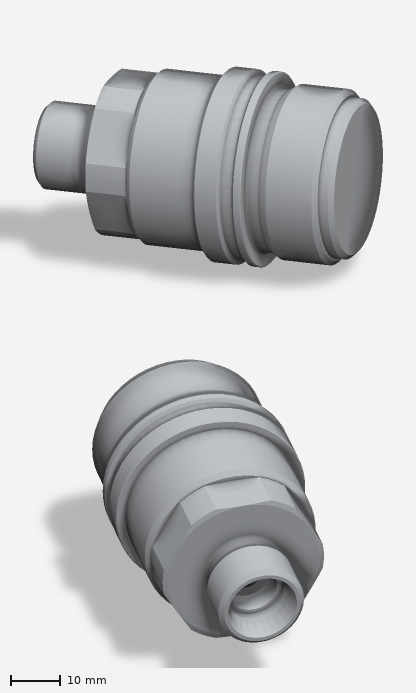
import cadquery as cq
import math


END_R = 9.05
END_CHAMFER = 1.0
END_LENGTH = 9.3
NECK_START = 11.3
NECK_R = 7.85
NECK_FILLET = 0.8
HEX_START = 13.95
HEX_END = 23.0
HEX_ACROSS_FLATS = 32.0
HEX_CORNER_R = 17.0
HEX_FACE_R = 15.95
HEX_CHAMFER_ANGLE = 15.0

MOUTH_R = 7.25
MOUTH_DEPTH = 5.2
COUNTERBORE_R = 6.0
COUNTERBORE_DEPTH = 6.9
BORE_R = 5.0

NOSE_R = 3.0
NOSE_TIP_R = 0.55
SHOULDER_X = 12.0
NOSE_LENGTH = NOSE_R - NOSE_TIP_R

BARREL_R = 18.0
BARREL_CHAMFER = 1.0
COLLAR_START = 38.4
COLLAR_END = 48.45
COLLAR_DIAMETER = 40.0
COLLAR_R = COLLAR_DIAMETER / 2
COLLAR_CHAMFER = 0.2
RING_GROOVE_START = 43.2
RING_GROOVE_END = 46.8
RING_GROOVE_R = 19.0
RING_GROOVE_WALL = 0.6
RELIEF_R = 16.8
RELIEF_FILLET = 0.8
RELIEF_END = 51.2
RELIEF_TAPER_END = 53.1
REAR_STEP_X = 64.0
REAR_STEP_R = 16.5
REAR_CHAMFER = 1.0
TOTAL_LENGTH = 67.0


def turn(outline):
    """Revolve a closed outline, drawn as X against radius, around the X axis."""
    return outline.close().revolve(360, (0, 0, 0), (1, 0, 0))


def make_hexagon():
    """Hexagon with flats facing +Z and -Z, its corners turned down and chamfered at both ends."""
    across_corners = HEX_ACROSS_FLATS / math.cos(math.pi / 6)
    prism = (
        cq.Workplane("YZ")
        .workplane(offset=HEX_START)
        .polygon(6, across_corners)
        .extrude(HEX_END - HEX_START)
    )
    chamfer_length = (HEX_CORNER_R - HEX_FACE_R) * math.tan(math.radians(HEX_CHAMFER_ANGLE))
    envelope = turn(
        cq.Workplane("XY")
        .moveTo(HEX_START, 0)
        .lineTo(HEX_START, HEX_FACE_R)
        .lineTo(HEX_START + chamfer_length, HEX_CORNER_R)
        .lineTo(HEX_END - chamfer_length, HEX_CORNER_R)
        .lineTo(HEX_END, HEX_FACE_R)
        .lineTo(HEX_END, 0)
    )
    return prism.intersect(envelope)


def make_threaded_end():
    """Chamfered end, taper to the neck and the neck's fillet into the hexagon face."""
    return turn(
        cq.Workplane("XY")
        .lineTo(0, END_R - END_CHAMFER)
        .lineTo(END_CHAMFER, END_R)
        .lineTo(END_LENGTH, END_R)
        .lineTo(NECK_START, NECK_R)
        .lineTo(HEX_START - NECK_FILLET, NECK_R)
        .radiusArc((HEX_START, NECK_R + NECK_FILLET), -NECK_FILLET)
        .lineTo(HEX_START, 0)
    )


def make_adapter_bore():
    """Tapered mouth, short straight counterbore and the narrower bore behind it."""
    return turn(
        cq.Workplane("XY")
        .lineTo(0, MOUTH_R)
        .lineTo(MOUTH_DEPTH, COUNTERBORE_R)
        .lineTo(COUNTERBORE_DEPTH, COUNTERBORE_R)
        .lineTo(COUNTERBORE_DEPTH, BORE_R)
        .lineTo(HEX_END, BORE_R)
        .lineTo(HEX_END, 0)
    )


def make_adapter():
    return make_threaded_end().union(make_hexagon()).cut(make_adapter_bore())


def make_poppet():
    """Plug that fills the rear of the adapter bore, with a blunt cone toward the open end."""
    return turn(
        cq.Workplane("XY")
        .moveTo(SHOULDER_X - NOSE_LENGTH, 0)
        .lineTo(SHOULDER_X - NOSE_LENGTH, NOSE_TIP_R)
        .lineTo(SHOULDER_X, NOSE_R)
        .lineTo(SHOULDER_X, BORE_R)
        .lineTo(HEX_END, BORE_R)
        .lineTo(HEX_END, 0)
    )


def make_barrel():
    """Barrel from the hexagon to the rear face, with the relief groove behind the collar."""
    return turn(
        cq.Workplane("XY")
        .moveTo(HEX_END, 0)
        .lineTo(HEX_END, BARREL_R - BARREL_CHAMFER)
        .lineTo(HEX_END + BARREL_CHAMFER, BARREL_R)
        .lineTo(COLLAR_END, BARREL_R)
        .lineTo(COLLAR_END, RELIEF_R + RELIEF_FILLET)
        .radiusArc((COLLAR_END + RELIEF_FILLET, RELIEF_R), -RELIEF_FILLET)
        .lineTo(RELIEF_END, RELIEF_R)
        .lineTo(RELIEF_TAPER_END, BARREL_R)
        .lineTo(REAR_STEP_X - REAR_CHAMFER, BARREL_R)
        .lineTo(REAR_STEP_X, BARREL_R - REAR_CHAMFER)
        .lineTo(REAR_STEP_X, REAR_STEP_R)
        .lineTo(TOTAL_LENGTH - REAR_CHAMFER, REAR_STEP_R)
        .lineTo(TOTAL_LENGTH, REAR_STEP_R - REAR_CHAMFER)
        .lineTo(TOTAL_LENGTH, 0)
    )


def make_collar():
    """Collar with chamfered outer edges and a ring groove with sloped walls."""
    return turn(
        cq.Workplane("XY")
        .moveTo(COLLAR_START, 0)
        .lineTo(COLLAR_START, COLLAR_R - COLLAR_CHAMFER)
        .lineTo(COLLAR_START + COLLAR_CHAMFER, COLLAR_R)
        .lineTo(RING_GROOVE_START, COLLAR_R)
        .lineTo(RING_GROOVE_START + RING_GROOVE_WALL, RING_GROOVE_R)
        .lineTo(RING_GROOVE_END - RING_GROOVE_WALL, RING_GROOVE_R)
        .lineTo(RING_GROOVE_END, COLLAR_R)
        .lineTo(COLLAR_END - COLLAR_CHAMFER, COLLAR_R)
        .lineTo(COLLAR_END, COLLAR_R - COLLAR_CHAMFER)
        .lineTo(COLLAR_END, 0)
    )


def make_housing():
    return make_barrel().union(make_collar())


adapter = make_adapter()
poppet = make_poppet()
housing = make_housing()

result = cq.Compound.makeCompound([adapter.val(), poppet.val(), housing.val()])